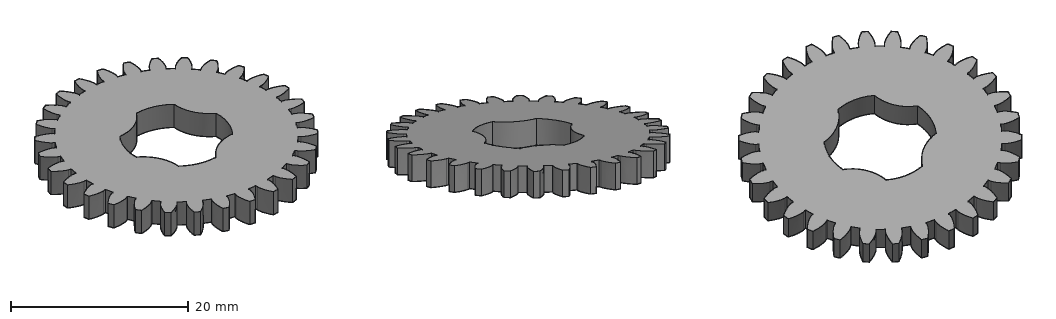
import cadquery as cq
import math

TOOTH_COUNT = 30
OUTER_DIAMETER = 32.0
PRESSURE_ANGLE = math.radians(20)
DEDENDUM_FACTOR = 1.25
THICKNESS = 3.15

MODULE = OUTER_DIAMETER / (TOOTH_COUNT + 2)
TIP_RADIUS = OUTER_DIAMETER / 2
PITCH_RADIUS = MODULE * TOOTH_COUNT / 2
ROOT_RADIUS = PITCH_RADIUS - DEDENDUM_FACTOR * MODULE
BASE_RADIUS = PITCH_RADIUS * math.cos(PRESSURE_ANGLE)
TOOTH_PITCH = 2 * math.pi / TOOTH_COUNT
FLANK_STEPS = 6

BORE_RADIUS = 6.37
BUMP_COUNT = 4
BUMP_RADIUS = 5.18
BUMP_CLEARANCE = 5.15


def polar(radius, angle):
    return (radius * math.cos(angle), radius * math.sin(angle))


def involute(pressure_angle):
    return math.tan(pressure_angle) - pressure_angle


def half_tooth_angle(radius):
    """Angle from the tooth centreline to its involute flank at a radius."""
    half_angle_at_pitch = TOOTH_PITCH / 4
    local_pressure_angle = math.acos(BASE_RADIUS / radius)
    return half_angle_at_pitch + involute(PRESSURE_ANGLE) - involute(local_pressure_angle)


def gear_blank():
    """Toothed disc with one tooth centred on +X, drawn counter-clockwise."""
    flank_radii = []
    for step in range(FLANK_STEPS + 1):
        fraction = (step / FLANK_STEPS) ** 2
        flank_radii.append(BASE_RADIUS + (TIP_RADIUS - BASE_RADIUS) * fraction)
    foot_angle = half_tooth_angle(BASE_RADIUS)

    outline = cq.Workplane("XY").moveTo(*polar(ROOT_RADIUS, -foot_angle))
    for tooth in range(TOOTH_COUNT):
        centre = tooth * TOOTH_PITCH
        rising = [polar(r, centre - half_tooth_angle(r)) for r in flank_radii]
        falling = [polar(r, centre + half_tooth_angle(r)) for r in reversed(flank_radii)]
        gap_centre = centre + TOOTH_PITCH / 2
        next_foot = centre + TOOTH_PITCH - foot_angle

        outline = outline.lineTo(*rising[0])
        outline = outline.spline(rising[1:], includeCurrent=True)
        outline = outline.threePointArc(polar(TIP_RADIUS, centre), falling[0])
        outline = outline.spline(falling[1:], includeCurrent=True)
        outline = outline.lineTo(*polar(ROOT_RADIUS, centre + foot_angle))
        outline = outline.threePointArc(polar(ROOT_RADIUS, gap_centre), polar(ROOT_RADIUS, next_foot))
    return outline.close().extrude(THICKNESS)


def bore():
    """Round bore with a cylindrical bump left standing on each axis."""
    bumps = (
        cq.Workplane("XY")
        .polarArray(BUMP_CLEARANCE + BUMP_RADIUS, 0, 360, BUMP_COUNT)
        .circle(BUMP_RADIUS)
        .extrude(THICKNESS)
    )
    return cq.Workplane("XY").circle(BORE_RADIUS).extrude(THICKNESS).cut(bumps)


result = gear_blank().cut(bore())